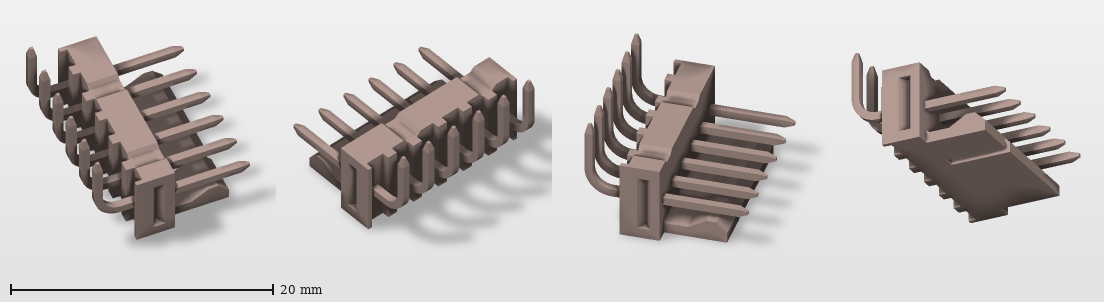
import cadquery as cq


pin_count = 6
body_length = 15.09
body_length_shortfall = 0.15
pitch = (body_length + body_length_shortfall) / pin_count
pin_width = 0.65
pin_bottom = 2.76
pin_length = 12.95
pin_height = 8.89
bend_outer_radius = 2.17
bend_inner_radius = bend_outer_radius - pin_width
tip_length = 0.75
tip_width = 0.25

body_height = 6.34
body_rear = 3.05
body_front = 6.23
rib_depth = 0.62
rib_width = 0.88

notch_gaps = (1, 4)
notch_floor_width = 1.0
notch_depth = 0.38

recess_bottom = 0.86
recess_top = 5.4
recess_rear = 4.44
recess_front = 5.46
recess_inset = 0.45
recess_depth = 0.68

latch_length = (pin_count - 1) * pitch
latch_front = 11.24
latch_thickness = 0.86
latch_height = 1.7
crest_front = 10.35
crest_rear = 9.6
valley_front = 8.15
latch_root_run = 0.39
latch_root_rise = 0.24
latch_slot_gap = 3
latch_slot_width = rib_width


def pin_x(index):
    """X of the centre of a pin, counted from 0 at the -X end."""
    return (index - (pin_count - 1) / 2) * pitch


def gap_x(index):
    """X midway between a pin and the next one."""
    return pin_x(index) + pitch / 2


def span_box(x_range, y_range, z_range):
    """Box given by its limits along each axis."""
    (x0, x1), (y0, y1), (z0, z1) = x_range, y_range, z_range
    return cq.Workplane("XY").box(x1 - x0, y1 - y0, z1 - z0, centered=False).translate((x0, y0, z0))


def make_tip(base_plane):
    """Tapered square pin end rising from the given plane."""
    return (
        cq.Workplane(base_plane)
        .rect(pin_width, pin_width)
        .workplane(offset=tip_length)
        .rect(tip_width, tip_width)
        .loft(combine=True)
    )


def make_pin(x):
    """Square pin bent upwards, tapered at both ends."""
    pin_top = pin_bottom + pin_width
    bend_z = pin_bottom + bend_outer_radius
    shank_end_y = pin_length - tip_length
    leg_end_z = pin_height - tip_length
    shank = (
        cq.Workplane("YZ")
        .moveTo(shank_end_y, pin_bottom)
        .lineTo(bend_outer_radius, pin_bottom)
        .radiusArc((0, bend_z), bend_outer_radius)
        .lineTo(0, leg_end_z)
        .lineTo(pin_width, leg_end_z)
        .lineTo(pin_width, bend_z)
        .radiusArc((bend_outer_radius, pin_top), -bend_inner_radius)
        .lineTo(shank_end_y, pin_top)
        .close()
        .extrude(pin_width / 2, both=True)
    )
    shank_tip = make_tip(
        cq.Plane((0, shank_end_y, pin_bottom + pin_width / 2), xDir=(1, 0, 0), normal=(0, 1, 0))
    )
    leg_tip = make_tip(cq.Plane((0, pin_width / 2, leg_end_z), xDir=(1, 0, 0), normal=(0, 0, 1)))
    return shank.union(shank_tip).union(leg_tip).translate((x, 0, 0))


def make_channel(x):
    """Full-height channel in the rear face at a pin, leaving a rib on either side."""
    half_width = (pitch - rib_width) / 2
    return span_box((x - half_width, x + half_width), (body_rear, body_rear + rib_depth), (0, body_height))


def make_notch(x):
    """Keying notch with 45 degree sides, open at the top of the housing."""
    half_floor = notch_floor_width / 2
    half_top = half_floor + notch_depth
    floor_z = body_height - notch_depth
    return (
        cq.Workplane("XZ", origin=(x, body_front, 0))
        .polyline(
            [
                (-half_floor, floor_z),
                (half_floor, floor_z),
                (half_top, body_height),
                (-half_top, body_height),
            ]
        )
        .close()
        .extrude(body_front - body_rear)
    )


def make_end_recess():
    """Recess in the -X end face, its two upright walls sloping inwards."""
    end_x = -body_length / 2
    floor_x = end_x + recess_depth
    return (
        cq.Workplane("XY", origin=(0, 0, recess_bottom))
        .polyline(
            [
                (end_x, recess_rear),
                (floor_x, recess_rear + recess_inset),
                (floor_x, recess_front - recess_inset),
                (end_x, recess_front),
            ]
        )
        .close()
        .extrude(recess_top - recess_bottom)
    )


def make_body():
    """Housing with ribs, keying notches and end recesses."""
    half_length = body_length / 2
    body = span_box((-half_length, half_length), (body_rear, body_front), (0, body_height))
    for index in range(pin_count):
        body = body.cut(make_channel(pin_x(index)))
    for index in notch_gaps:
        body = body.cut(make_notch(gap_x(index)))
    recess = make_end_recess()
    return body.cut(recess).cut(recess.mirror("YZ"))


def make_latch():
    """Latch wall with a raised crest, split by one slot."""
    latch = (
        cq.Workplane("YZ")
        .moveTo(body_front, 0)
        .lineTo(latch_front, 0)
        .lineTo(latch_front, latch_thickness)
        .lineTo(crest_front, latch_height)
        .lineTo(crest_rear, latch_height)
        .lineTo(valley_front, latch_thickness)
        .lineTo(body_front + latch_root_run, latch_thickness)
        .tangentArcPoint((body_front, latch_thickness + latch_root_rise), relative=False)
        .close()
        .extrude(latch_length / 2, both=True)
    )
    slot_x = gap_x(latch_slot_gap)
    slot = span_box(
        (slot_x - latch_slot_width / 2, slot_x + latch_slot_width / 2),
        (body_front, latch_front),
        (0, latch_height),
    )
    return latch.cut(slot)


result = make_body().union(make_latch())
for pin_index in range(pin_count):
    result = result.union(make_pin(pin_x(pin_index)))